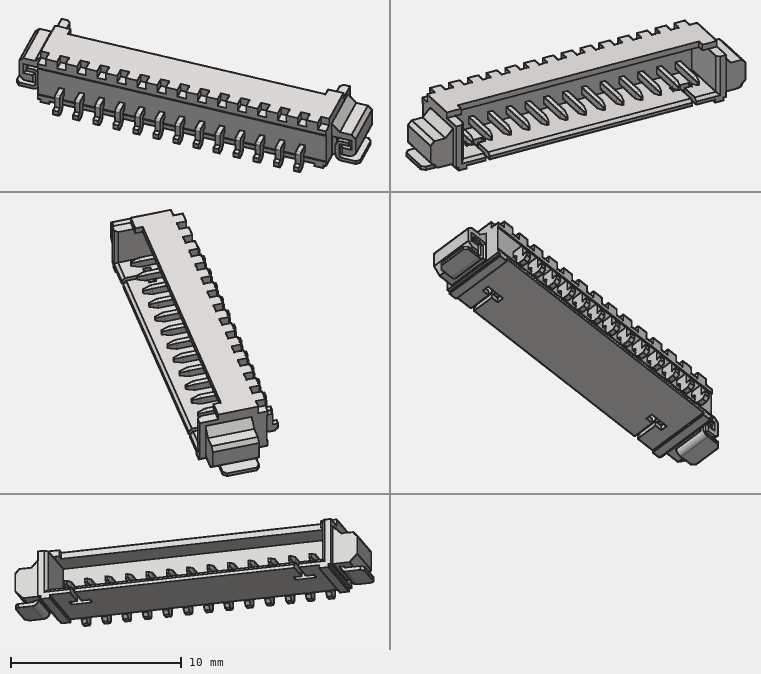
import cadquery as cq


LENGTH = 21.4
DEPTH = 5.2
HEIGHT = 3.4

PIN_COUNT = 13
ROW_LENGTH = 15.0
PITCH = ROW_LENGTH / (PIN_COUNT - 1)
PIN_WIDTH = 0.32

BODY_HALF = 8.99
BODY_FRONT = 1.03
BODY_BOTTOM = 0.2
WALL_TOP = 3.02
WALL = 0.58
FLOOR_TOP = 0.6
LEAD_IN = 0.2
RECESS_DEPTH = 0.06
RECESS_BOTTOM = 0.51
RECESS_TOP = 2.53
ROOF_BACK = 3.62
ROOF_CORNER_BACK = 4.07
ROOF_CORNER_WIDTH = 0.96
NOTCH_WIDTH = 0.54
NOTCH_DEPTH = 0.58
NOTCH_HEIGHT = 0.51
BACK_WALL = 0.39
CAVITY_FRONT = BODY_FRONT + NOTCH_DEPTH + BACK_WALL
FOOT_CENTRE = 8.54
FOOT_WIDTH = 0.55

SLOT_WIDTH = 0.25
WINDOW_BACK = 3.75
WINDOW_LENGTH = 0.43

PIN_TOP = 1.37
PIN_UNDERSIDE = 0.92
PIN_LEG_OUTER = 0.32
PIN_LEG_INNER = 0.83
PIN_TOE_TOP = 0.51
PIN_FOOT_CHAMFER = 0.21
PIN_OUTER_RADIUS = 0.13
PIN_INNER_RADIUS = 0.2
PIN_SHOULDER = 3.98
PIN_TIP = 4.5
PIN_TIP_WIDTH = 0.13
PIN_TIP_HEIGHT = 0.21

WING_FRONT = 2.01
WING_BACK = 4.84
WING_OUTER = 10.49
WING_BOTTOM = 0.32
WING_TOP = 2.18
WING_ROOT_TOP = 2.7
WING_TOP_CHAMFER = 0.25
WING_BOTTOM_CHAMFER = 0.47

CLIP_THICKNESS = 0.24
CLIP_INNER_RADIUS = 0.17
CLIP_BACK = 4.24
CLIP_CORNER = 0.21
CLIP_LEG_INNER = 9.22
CLIP_LEG_OUTER = CLIP_LEG_INNER + CLIP_THICKNESS
CLIP_ARM_TOP = 1.5
CLIP_ARM_BOTTOM = CLIP_ARM_TOP - CLIP_THICKNESS
CHANNEL_OUTER = 10.04
CHANNEL_TOP = 1.55
CHANNEL_SHELF = 1.22

PIN_ROW = [i * PITCH - ROW_LENGTH / 2 for i in range(PIN_COUNT)]


def block(x0, x1, y0, y1, z0, z1):
    """Box given by its limits along each axis."""
    return cq.Workplane("XY").box(x1 - x0, y1 - y0, z1 - z0, centered=False).translate((x0, y0, z0))


def extrude_back(outline, y0, y1):
    """Prism of an XZ outline between two Y positions."""
    return cq.Workplane("XZ", origin=(0, y0, 0)).polyline(outline).close().extrude(y0 - y1)


def make_cavity():
    """Mating cavity, widened at the mouth by a lead-in chamfer."""
    half = BODY_HALF - WALL
    height = WALL_TOP - FLOOR_TOP
    cavity = block(-half, half, CAVITY_FRONT, DEPTH, FLOOR_TOP, WALL_TOP)
    middle = FLOOR_TOP + height / 2
    mouth = (
        cq.Workplane("XZ", origin=(0, DEPTH, middle))
        .rect(2 * (half + LEAD_IN), height + 2 * LEAD_IN)
        .workplane(offset=LEAD_IN)
        .rect(2 * half, height)
        .loft(ruled=True)
    )
    return cavity.union(mouth)


def make_body():
    body = block(-BODY_HALF, BODY_HALF, BODY_FRONT, DEPTH, BODY_BOTTOM, HEIGHT)

    roof_half = BODY_HALF - ROOF_CORNER_WIDTH
    body = body.cut(block(-BODY_HALF, BODY_HALF, ROOF_CORNER_BACK, DEPTH, WALL_TOP, HEIGHT))
    body = body.cut(block(-roof_half, roof_half, ROOF_BACK, DEPTH, WALL_TOP, HEIGHT))

    body = body.cut(make_cavity())

    recess_back = BODY_FRONT + RECESS_DEPTH
    body = body.cut(block(-BODY_HALF, BODY_HALF, BODY_FRONT, recess_back, RECESS_BOTTOM, RECESS_TOP))

    for x in [PIN_ROW[0] - PITCH] + PIN_ROW + [PIN_ROW[-1] + PITCH]:
        body = body.cut(
            block(
                x - NOTCH_WIDTH / 2, x + NOTCH_WIDTH / 2,
                BODY_FRONT, BODY_FRONT + NOTCH_DEPTH,
                HEIGHT - NOTCH_HEIGHT, HEIGHT,
            )
        )

    latch_centre = (PIN_ROW[-1] + PIN_ROW[-2]) / 2
    window_front = WINDOW_BACK - WINDOW_LENGTH
    for side in (-1, 1):
        x = side * latch_centre
        body = body.cut(block(x - SLOT_WIDTH / 2, x + SLOT_WIDTH / 2, window_front, DEPTH, 0, FLOOR_TOP))
        body = body.cut(block(x - PITCH / 2, x + PITCH / 2, window_front, WINDOW_BACK, 0, FLOOR_TOP))

        x = side * FOOT_CENTRE
        body = body.union(block(x - FOOT_WIDTH / 2, x + FOOT_WIDTH / 2, BODY_FRONT, DEPTH, 0, BODY_BOTTOM))
    return body


def make_pin():
    """Pin centred on X = 0: bent tail, straight bar and tapered mating tip."""
    tail = (
        cq.Workplane("YZ", origin=(-PIN_WIDTH / 2, 0, 0))
        .moveTo(PIN_SHOULDER, PIN_TOP)
        .lineTo(PIN_LEG_OUTER + PIN_OUTER_RADIUS, PIN_TOP)
        .radiusArc((PIN_LEG_OUTER, PIN_TOP - PIN_OUTER_RADIUS), -PIN_OUTER_RADIUS)
        .lineTo(PIN_LEG_OUTER, PIN_TOE_TOP)
        .lineTo(0, PIN_TOE_TOP)
        .lineTo(0, PIN_FOOT_CHAMFER)
        .lineTo(PIN_FOOT_CHAMFER, 0)
        .lineTo(PIN_LEG_INNER - PIN_FOOT_CHAMFER, 0)
        .lineTo(PIN_LEG_INNER, PIN_FOOT_CHAMFER)
        .lineTo(PIN_LEG_INNER, PIN_UNDERSIDE - PIN_INNER_RADIUS)
        .radiusArc((PIN_LEG_INNER + PIN_INNER_RADIUS, PIN_UNDERSIDE), PIN_INNER_RADIUS)
        .lineTo(PIN_SHOULDER, PIN_UNDERSIDE)
        .close()
        .extrude(PIN_WIDTH)
    )
    tip = (
        cq.Workplane("XZ", origin=(0, PIN_SHOULDER, (PIN_TOP + PIN_UNDERSIDE) / 2))
        .rect(PIN_WIDTH, PIN_TOP - PIN_UNDERSIDE)
        .workplane(offset=PIN_SHOULDER - PIN_TIP)
        .rect(PIN_TIP_WIDTH, PIN_TIP_HEIGHT)
        .loft(ruled=True)
    )
    return tail.union(tip)


def clip_void(margin):
    """Outline of the space left for the clip in the +X wing, grown by a margin."""
    inner = CLIP_LEG_INNER - margin
    outer = CHANNEL_OUTER + margin
    leg_outer = CLIP_LEG_OUTER + margin
    shelf = CHANNEL_SHELF - margin
    underside = WING_BOTTOM + margin
    return [
        (inner, CHANNEL_TOP + margin),
        (outer, CHANNEL_TOP + margin),
        (outer, shelf),
        (leg_outer, shelf),
        (leg_outer, underside),
        (WING_OUTER + margin, underside),
        (WING_OUTER + margin, 0),
        (inner, 0),
    ]


def make_wing():
    """Wing on the +X end with a blind clip channel, chamfered around its front opening."""
    slope_run = WING_ROOT_TOP - WING_TOP
    outline = [
        (BODY_HALF, WING_BOTTOM),
        (WING_OUTER - WING_BOTTOM_CHAMFER, WING_BOTTOM),
        (WING_OUTER, WING_BOTTOM + WING_BOTTOM_CHAMFER),
        (WING_OUTER, WING_TOP - WING_TOP_CHAMFER),
        (WING_OUTER - WING_TOP_CHAMFER, WING_TOP),
        (BODY_HALF + slope_run, WING_TOP),
        (BODY_HALF, WING_ROOT_TOP),
    ]
    wing = extrude_back(outline, WING_FRONT, WING_BACK)
    channel = extrude_back(clip_void(0), WING_FRONT, CLIP_BACK)
    lead_in = (
        cq.Workplane("XZ", origin=(0, WING_FRONT, 0))
        .polyline(clip_void(LEAD_IN)).close()
        .workplane(offset=-LEAD_IN)
        .polyline(clip_void(0)).close()
        .loft(ruled=True)
    )
    return wing.cut(channel).cut(lead_in)


def make_clip():
    """S-bent sheet clip on the +X end; its foot corners are chamfered."""
    foot_end = LENGTH / 2
    outer_radius = CLIP_INNER_RADIUS + CLIP_THICKNESS
    bend = CLIP_LEG_INNER + outer_radius
    clip = (
        cq.Workplane("XZ", origin=(0, WING_FRONT, 0))
        .moveTo(foot_end, 0)
        .lineTo(bend, 0)
        .radiusArc((CLIP_LEG_INNER, outer_radius), outer_radius)
        .lineTo(CLIP_LEG_INNER, CLIP_ARM_TOP - outer_radius)
        .radiusArc((bend, CLIP_ARM_TOP), outer_radius)
        .lineTo(CHANNEL_OUTER, CLIP_ARM_TOP)
        .lineTo(CHANNEL_OUTER, CLIP_ARM_BOTTOM)
        .lineTo(bend, CLIP_ARM_BOTTOM)
        .radiusArc((CLIP_LEG_OUTER, CLIP_ARM_BOTTOM - CLIP_INNER_RADIUS), -CLIP_INNER_RADIUS)
        .lineTo(CLIP_LEG_OUTER, outer_radius)
        .radiusArc((bend, CLIP_THICKNESS), -CLIP_INNER_RADIUS)
        .lineTo(foot_end, CLIP_THICKNESS)
        .close()
        .extrude(WING_FRONT - CLIP_BACK)
    )
    return clip.faces(">X").edges("|Z").chamfer(CLIP_CORNER)


result = make_body()
pin = make_pin()
for pin_x in PIN_ROW:
    result = result.union(pin.translate((pin_x, 0, 0)))

end_fitting = make_wing().union(make_clip())
result = result.union(end_fitting).union(end_fitting.mirror("YZ"))